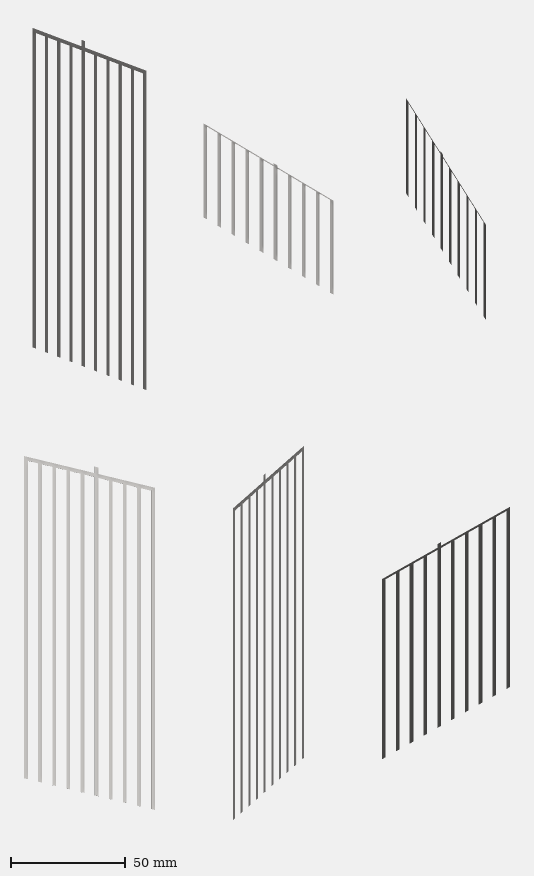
import cadquery as cq

width = 66.7
height = 155.7
thickness = 0.04

tooth_count = 10
tooth_width = 1.9
tab_tooth_index = 4
tab_height = 3.1
bar_height = 1.9

tooth_pitch = (width - tooth_width) / (tooth_count - 1)
bar_top = height - tab_height


def strip(left, bottom, strip_width, strip_height):
    """Flat strip placed by its lower left corner."""
    return cq.Workplane("XY").box(
        strip_width, thickness, strip_height, centered=False
    ).translate((left, 0, bottom))


result = strip(0, bar_top - bar_height, width, bar_height)

for index in range(tooth_count):
    top = height if index == tab_tooth_index else bar_top
    result = result.union(strip(index * tooth_pitch, 0, tooth_width, top))

result = result.clean()